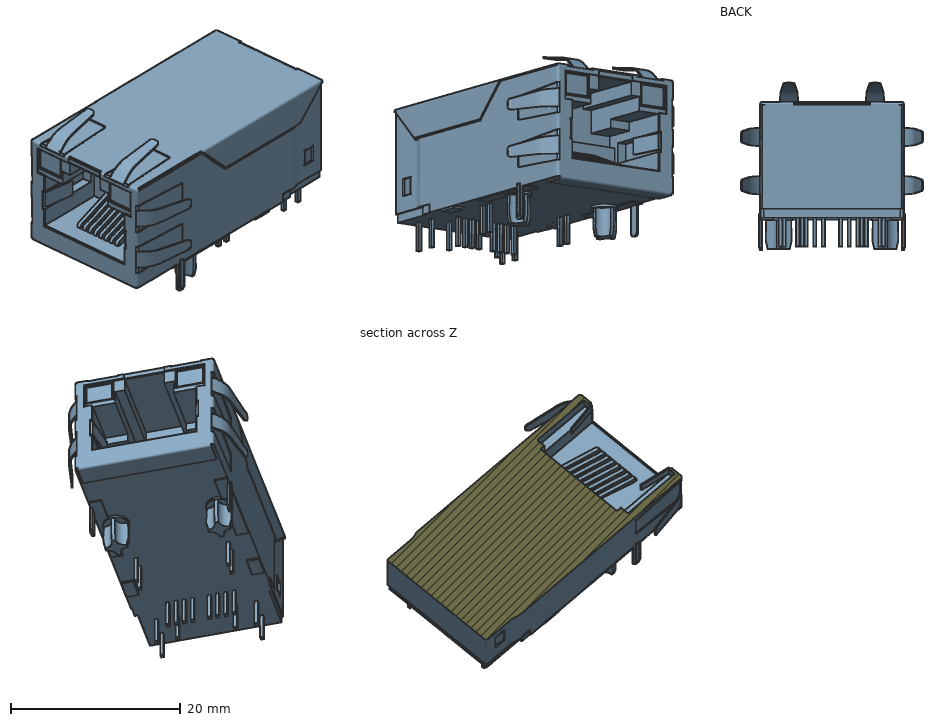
import cadquery as cq
import math


LENGTH = 33.02
HALF_WIDTH = 8.52
HEIGHT = 13.7
SHEET = 0.2
BEND = 0.33

FINGER_RISE = 2.28
FINGER_SHEET = 0.15
FINGER_LENGTH = 7.0
FINGER_ROOT_HALF = 1.12
FINGER_TIP_HALF = 0.65
FINGER_TIP_ROUND = 0.5
FINGER_TIP_RUN = 0.55
FINGER_SLOPE = 43.0
FINGER_END_SLOPE = 10.5
FINGER_TIP_SLOPE = 19.0
FINGER_BEND_START = 0.85
FINGER_BEND_END = 2.55
SLOT_DEPTH = 0.13
SLOT_LEAD = 0.3
SLOT_LEAD_DROP = 0.15
SLOT_LENGTH = 8.02
SLOT_ROOT_HALF = 1.85
SLOT_TIP_HALF = 1.42
SLOT_CORNER = 0.2
TOP_FINGER_X = 5.1
SIDE_FINGER_Z = (3.83, 9.55)

FLAP_BOTTOM = 9.55
FLAP_FRONT = 15.65
FLAP_REAR = 28.85
FLAP_TOP = HEIGHT - BEND
FLAP_END_ANGLE = 45.0
FLAP_GAP = 0.2
GAP_DEPTH = 0.6
REBATE = 0.23
JOGGLE = 0.25
REAR_BEND = 0.25
JOGGLE_START = 27.4
JOGGLE_END = 28.9
COVER_BOTTOM = 1.02
BASE_STEP_Y = 27.2
BASE_FRONT_Y = 25.82
BASE_FRONT_INSET = 0.1
BASE_SIDE_INSET = 0.45
BASE_END_INSET = 0.23
LATCH_FRONT = 29.9
LATCH_GAP = 0.13
LATCH_RAMP_END = 31.1
LATCH_REAR = 31.47
LATCH_BOTTOM = 3.0
LATCH_TOP = 5.05
LATCH_SHALLOW = 0.3
LATCH_DEEP = 0.53
LATCH_FLOOR = 0.55
REAR_NOTCH_HALF = 4.52
REAR_NOTCH_Y = 32.55

WINDOW_HALF = 7.4
WINDOW_TOP = 12.88
WINDOW_STEP = 9.48
MOUTH_HALF = 6.4
MOUTH_BOTTOM = 2.4
PLASTIC_LIP = 0.1
LIP_HALF = 2.48
LIP_STEP_Y = 0.25
KEY_HALF = 2.4
KEY_BOTTOM = 11.13
LATCHWAY_HALF = 3.55
CAVITY_DEPTH = 8.9
UPPER_CAVITY_DEPTH = 9.9
SHELF_Z = 6.75
CEILING_DROP_Y = 5.95
CEILING_Z = 8.32
POCKET_BOTTOM = 4.75
POCKET_TOP = 7.23
POCKET_REAR = 8.25
POCKET_HALF = 7.45
NOTCH_HALF = 6.65
SPRING_BOTTOM = 5.05
SPRING_TOP = 7.05
SPRING_END_Y = 4.3
SPRING_END_X = 5.65

LAMP_INNER = 3.83
LAMP_OUTER = 7.25
LAMP_BOTTOM = 10.07
LAMP_TOP = 12.8
LAMP_FACE_Y = 0.25
LAMP_CHAMFER = 0.15
LAMP_GAP = 0.03
LAMP_POCKET_Y = 0.53

CONTACTS = 8
CONTACT_SPAN = 5.95
CONTACT_PITCH = CONTACT_SPAN / (CONTACTS - 1)
CONTACT_WIDTH = 0.53
CONTACT_SHEET = 0.25
CONTACT_FRONT_Y = 2.4
CONTACT_NOSE_Z = 3.05
CONTACT_REAR_Z = 5.48

POST_X = 6.3
POST_Y = 10.9
POST_RADIUS = 1.5
POST_BARB = 1.55
POST_END_RADIUS = 1.32
POST_BARB_Z = -2.67
POST_END_Z = -3.73
COLLAR_RADIUS = 1.6
COLLAR = 0.33
SCALLOP_OFFSET = 1.32
POST_ARM_HALF = 0.23
TAB_Y = 7.75
TAB_WIDTH = 1.2
TAB_BOTTOM = -3.85
TAB_SHEET = 0.25
TAB_CHAMFER = 0.3
RIB_WIDTH = 0.53
RIB_TOP = 0.4
RIB_BOTTOM = -3.53
RIB_RISE = 0.13
PIN_END_Z = -3.45
PIN_X_SIZE = 0.4
PIN_Y_SIZE = 0.5
OUTER_PIN_X = 6.1
FRONT_PIN_X = 5.65
PIN_ROWS_Y = (26.1, 28.63, 31.17)
FRONT_PIN_Y = (17.57, 19.0)
SIGNAL_PIN_X = (1.02, 2.05, 3.05, 4.05)
CENTER_TAP_X = 3.53
LIP_FOLD = 0.25
LIP_FOLD_REAR = 2.58
LIP_FOLD_HALF = HALF_WIDTH - BEND
FOOT_INNER = 6.95
FOOT_OUTER = 8.45
REAR_FOOT = (20.97, 23.45, 0.25)
LONG_FOOT = (6.25, 16.28, 0.15)


def block(x0, x1, y0, y1, z0, z1):
    return cq.Workplane("XY").box(x1 - x0, y1 - y0, z1 - z0, centered=False).translate((x0, y0, z0))


def wide_block(half, y0, y1, z0, z1):
    return block(-half, half, y0, y1, z0, z1)


def prism_x(points, x0, x1):
    """Extrude a (y, z) outline from x0 to x1."""
    return cq.Workplane("YZ").workplane(offset=x0).polyline(points).close().extrude(x1 - x0)


def prism_z(points, z0, z1):
    """Extrude an (x, y) outline from z0 to z1."""
    return cq.Workplane("XY").workplane(offset=z0).polyline(points).close().extrude(z1 - z0)


def both_sides(solid):
    return solid.union(solid.mirror("YZ"))


def shield_body():
    body = wide_block(HALF_WIDTH, 0, LENGTH, 0, HEIGHT)
    body = body.edges("|Z or (>Z and |Y) or (>Z and |X)").fillet(BEND)
    notch = wide_block(REAR_NOTCH_HALF, REAR_NOTCH_Y, LENGTH, HEIGHT - SHEET, HEIGHT)
    step = wide_block(REAR_NOTCH_HALF, LENGTH - SHEET, LENGTH, HEIGHT - BEND, HEIGHT)
    return body.cut(notch).cut(step)


def top_edge_rebate():
    """Open corner ahead of the +X flap, where the top sheet stops short of the side sheet."""
    front_end = FLAP_FRONT - (HEIGHT - FLAP_BOTTOM)
    return block(HALF_WIDTH - REBATE, HALF_WIDTH, BEND, front_end, HEIGHT - REBATE, HEIGHT)


def flap_outline(gap):
    """Outline of the side flap with 45 degree ends, grown outwards by the gap."""
    end_gap = gap * math.tan(math.radians(FLAP_END_ANGLE / 2))
    rise = FLAP_TOP - FLAP_BOTTOM + gap
    bottom = FLAP_BOTTOM - gap
    return [
        (FLAP_FRONT - end_gap, bottom),
        (FLAP_REAR + end_gap, bottom),
        (FLAP_REAR + end_gap + rise, FLAP_TOP),
        (FLAP_FRONT - end_gap - rise, FLAP_TOP),
    ]


def rear_cover_cut():
    """Material outside the +X rear cover, which steps in through an S-bend."""
    level = HALF_WIDTH - JOGGLE
    middle = (JOGGLE_START + JOGGLE_END) / 2
    half_run = (JOGGLE_END - JOGGLE_START) / 2
    radius = (half_run**2 + (JOGGLE / 2) ** 2) / JOGGLE
    quarter = half_run / 2
    sag = radius - math.sqrt(radius**2 - quarter**2)
    space = (
        cq.Workplane("XY")
        .moveTo(HALF_WIDTH, JOGGLE_START)
        .threePointArc((HALF_WIDTH - sag, JOGGLE_START + quarter), (HALF_WIDTH - JOGGLE / 2, middle))
        .threePointArc((level + sag, JOGGLE_END - quarter), (level, JOGGLE_END))
        .lineTo(level, LENGTH - REAR_BEND)
        .radiusArc((level - REAR_BEND, LENGTH), -REAR_BEND)
        .lineTo(HALF_WIDTH, LENGTH)
        .close()
        .extrude(FLAP_TOP)
    )
    return space.cut(prism_x(flap_outline(0), 0, HALF_WIDTH))


def flap_gap_cut():
    """Open seam around the +X flap."""
    inner = HALF_WIDTH - GAP_DEPTH
    seam = prism_x(flap_outline(FLAP_GAP), inner, HALF_WIDTH)
    return seam.cut(prism_x(flap_outline(0), inner, HALF_WIDTH))


def latch_cut():
    """Window in the +X rear cover, leaving a latch ramp at its bottom."""
    return (
        cq.Workplane("XY")
        .workplane(offset=LATCH_BOTTOM)
        .moveTo(HALF_WIDTH, LATCH_FRONT)
        .lineTo(HALF_WIDTH - LATCH_FLOOR, LATCH_FRONT)
        .lineTo(HALF_WIDTH - LATCH_FLOOR, LATCH_FRONT + LATCH_GAP)
        .lineTo(HALF_WIDTH - LATCH_SHALLOW, LATCH_FRONT + LATCH_GAP)
        .lineTo(HALF_WIDTH - LATCH_DEEP, LATCH_RAMP_END)
        .tangentArcPoint((HALF_WIDTH - LATCH_FLOOR, LATCH_REAR), relative=False)
        .lineTo(HALF_WIDTH, LATCH_REAR)
        .close()
        .extrude(LATCH_TOP - LATCH_BOTTOM)
    )


def base_cut():
    """Steps that set the plastic base back below the +X rear cover."""
    front_x = HALF_WIDTH - BASE_FRONT_INSET
    side_x = HALF_WIDTH - BASE_SIDE_INSET
    end_y = LENGTH - BASE_END_INSET
    front = block(front_x, HALF_WIDTH, BASE_FRONT_Y, BASE_STEP_Y, 0, COVER_BOTTOM)
    side = block(side_x, HALF_WIDTH, BASE_STEP_Y, LENGTH, 0, COVER_BOTTOM)
    end = block(0, HALF_WIDTH, end_y, LENGTH, 0, COVER_BOTTOM)
    return front.union(side).union(end)


def finger():
    """A spring finger rooted at the origin, running along +Y and rising along +Z."""
    slope = math.radians(FINGER_SLOPE)
    end_slope = math.radians(FINGER_END_SLOPE)
    run = FINGER_BEND_END - FINGER_BEND_START
    radius = run / (math.sin(slope) - math.sin(end_slope))
    bend_rise = radius * (math.cos(end_slope) - math.cos(slope))
    tip_y = FINGER_LENGTH - FINGER_TIP_RUN
    kink_z = FINGER_RISE - FINGER_TIP_RUN * math.tan(math.radians(FINGER_TIP_SLOPE))
    bend_end_z = kink_z - (tip_y - FINGER_BEND_END) * math.tan(end_slope)
    bend_start_z = bend_end_z - bend_rise
    root_y = BEND * (1 - math.sin(slope))
    root_z = bend_start_z - (FINGER_BEND_START - root_y) * math.tan(slope)
    root_center_z = root_z - BEND * math.cos(slope)
    half_turn = (math.pi / 2 - slope) / 2
    root_middle = (
        BEND * (1 - math.cos(half_turn)),
        root_center_z + BEND * math.sin(half_turn),
    )
    middle = (slope + end_slope) / 2
    bend_center_y = FINGER_BEND_START + radius * math.sin(slope)
    bend_center_z = bend_start_z - radius * math.cos(slope)

    def on_bend(angle, distance):
        y = bend_center_y - distance * math.sin(angle)
        return (y, bend_center_z + distance * math.cos(angle))

    inner = radius - FINGER_SHEET
    inner_start = on_bend(slope, inner)
    inner_root_y = inner_start[0] - (inner_start[1] - root_center_z) / math.tan(slope)
    profile = (
        cq.Workplane("YZ")
        .workplane(offset=-FINGER_ROOT_HALF)
        .moveTo(0, root_center_z)
        .threePointArc(root_middle, (root_y, root_z))
        .lineTo(FINGER_BEND_START, bend_start_z)
        .threePointArc(on_bend(middle, radius), (FINGER_BEND_END, bend_end_z))
        .lineTo(tip_y, kink_z)
        .lineTo(FINGER_LENGTH, FINGER_RISE)
        .lineTo(FINGER_LENGTH, FINGER_RISE - FINGER_SHEET)
        .lineTo(tip_y, kink_z - FINGER_SHEET)
        .lineTo(*on_bend(end_slope, inner))
        .threePointArc(on_bend(middle, inner), inner_start)
        .lineTo(inner_root_y, root_center_z)
        .close()
        .extrude(2 * FINGER_ROOT_HALF)
    )
    outline = prism_z(
        [
            (-FINGER_ROOT_HALF, 0),
            (FINGER_ROOT_HALF, 0),
            (FINGER_TIP_HALF, FINGER_LENGTH),
            (-FINGER_TIP_HALF, FINGER_LENGTH),
        ],
        -2 * BEND,
        FINGER_RISE,
    )
    return profile.intersect(outline.edges("|Z and >Y").fillet(FINGER_TIP_ROUND))


def finger_slot():
    slot = prism_z(
        [
            (-SLOT_ROOT_HALF, 0),
            (SLOT_ROOT_HALF, 0),
            (SLOT_TIP_HALF, SLOT_LENGTH),
            (-SLOT_TIP_HALF, SLOT_LENGTH),
        ],
        -SLOT_DEPTH,
        0,
    )
    lead = prism_x(
        [(0, -SLOT_DEPTH), (SLOT_LEAD, -SLOT_DEPTH), (0, -SLOT_DEPTH - SLOT_LEAD_DROP)],
        -SLOT_ROOT_HALF,
        SLOT_ROOT_HALF,
    )
    return slot.edges("|Z and >Y").fillet(SLOT_CORNER).union(lead)


def at_finger_places(shape):
    """Copies of a finger-frame shape on the top and on both sides."""
    copies = [shape.translate((x, 0, HEIGHT)) for x in (-TOP_FINGER_X, TOP_FINGER_X)]
    for angle, x in ((90, HALF_WIDTH), (-90, -HALF_WIDTH)):
        turned = shape.rotate((0, 0, 0), (0, 1, 0), angle)
        copies += [turned.translate((x, 0, z)) for z in SIDE_FINGER_Z]
    return copies


def window_cut():
    """Openings in the front sheet."""
    window = wide_block(WINDOW_HALF, 0, SHEET, WINDOW_STEP, WINDOW_TOP)
    mouth = wide_block(MOUTH_HALF, 0, SHEET, MOUTH_BOTTOM, WINDOW_STEP)
    notches = wide_block(NOTCH_HALF, 0, SHEET, POCKET_BOTTOM, POCKET_TOP)
    lip_face = wide_block(LIP_HALF, 0, SHEET / 2, WINDOW_TOP, HEIGHT)
    lip_step = wide_block(LIP_HALF, 0, LIP_STEP_Y, HEIGHT - SHEET, HEIGHT)
    return window.union(mouth).union(notches).union(lip_face).union(lip_step)


def cavity_cut():
    """Plug cavity in the plastic housing behind the front sheet."""
    half = MOUTH_HALF - PLASTIC_LIP
    bottom = MOUTH_BOTTOM + PLASTIC_LIP
    lower = wide_block(half, SHEET, CAVITY_DEPTH, bottom, SHELF_Z)
    middle = wide_block(half, SHEET, UPPER_CAVITY_DEPTH, SHELF_Z, CEILING_Z)
    entry = wide_block(half, SHEET, CEILING_DROP_Y, CEILING_Z, WINDOW_STEP - PLASTIC_LIP)
    latchway = wide_block(LATCHWAY_HALF, SHEET, UPPER_CAVITY_DEPTH, CEILING_Z, KEY_BOTTOM)
    key = wide_block(KEY_HALF, SHEET, UPPER_CAVITY_DEPTH, KEY_BOTTOM, WINDOW_TOP - PLASTIC_LIP)
    pockets = wide_block(POCKET_HALF, SHEET, POCKET_REAR, POCKET_BOTTOM, POCKET_TOP)
    pocket_wall = wide_block(half, SHEET, POCKET_REAR, POCKET_BOTTOM, POCKET_TOP)
    return lower.union(middle).union(entry).union(latchway).union(key).union(pockets.cut(pocket_wall))


def side_spring():
    """Leaf on the +X cavity wall, leaning inwards from the front sheet."""
    lean = [
        (POCKET_HALF, SHEET),
        (MOUTH_HALF - PLASTIC_LIP, SHEET),
        (SPRING_END_X, SPRING_END_Y),
        (SPRING_END_X + SHEET, SPRING_END_Y),
        (MOUTH_HALF + PLASTIC_LIP, 2 * SHEET),
        (POCKET_HALF, 2 * SHEET),
    ]
    return prism_z(lean, SPRING_BOTTOM, SPRING_TOP)


def lamp_pocket():
    return block(
        LAMP_INNER - LAMP_GAP,
        LAMP_OUTER + LAMP_GAP,
        SHEET,
        LAMP_POCKET_Y,
        LAMP_BOTTOM - LAMP_GAP,
        LAMP_TOP + LAMP_GAP,
    )


def lamp():
    lens = block(LAMP_INNER, LAMP_OUTER, LAMP_FACE_Y, LAMP_POCKET_Y, LAMP_BOTTOM, LAMP_TOP)
    return lens.faces("<Y").chamfer(LAMP_CHAMFER)


def contacts():
    """Row of sloping contact wires rising from the cavity floor to its rear wall."""
    floor = MOUTH_BOTTOM + PLASTIC_LIP
    nose_y = CONTACT_FRONT_Y + CONTACT_SHEET
    nose_middle = (CONTACT_FRONT_Y + CONTACT_SHEET / 4, (floor + CONTACT_NOSE_Z) / 2 + CONTACT_SHEET / 4)
    contact = (
        cq.Workplane("YZ")
        .moveTo(CONTACT_FRONT_Y, floor)
        .threePointArc(nose_middle, (nose_y, CONTACT_NOSE_Z))
        .lineTo(CAVITY_DEPTH, CONTACT_REAR_Z)
        .lineTo(CAVITY_DEPTH, CONTACT_REAR_Z - CONTACT_SHEET)
        .lineTo(nose_y + CONTACT_SHEET, floor)
        .close()
        .extrude(CONTACT_WIDTH)
    )
    row = cq.Workplane("XY")
    first = -(CONTACT_SPAN + CONTACT_WIDTH) / 2
    for index in range(CONTACTS):
        row = row.union(contact.translate((first + index * CONTACT_PITCH, 0, 0)))
    return row


def post():
    """Cross-shaped locating peg with a tapered end and concave flutes."""
    peg = (
        cq.Workplane("XZ")
        .polyline(
            [
                (0, 0),
                (POST_RADIUS, 0),
                (POST_BARB, POST_BARB_Z),
                (POST_END_RADIUS, POST_END_Z),
                (0, POST_END_Z),
            ]
        )
        .close()
        .revolve(360, (0, 0, 0), (0, 1, 0))
    )
    reach = SCALLOP_OFFSET - POST_ARM_HALF
    opening = POST_BARB - POST_ARM_HALF
    flute = (
        cq.Workplane("XY")
        .workplane(offset=POST_END_Z)
        .center(SCALLOP_OFFSET, SCALLOP_OFFSET)
        .circle(reach)
        .extrude(-POST_END_Z)
    )
    for x, y in ((POST_ARM_HALF, SCALLOP_OFFSET), (SCALLOP_OFFSET, POST_ARM_HALF)):
        flute = flute.union(block(x, x + opening, y, y + opening, POST_END_Z, 0))
    for turn in range(4):
        peg = peg.cut(flute.rotate((0, 0, 0), (0, 0, 1), 90 * turn))
    collar = cq.Workplane("XY").circle(COLLAR_RADIUS).extrude(-COLLAR)
    return peg.union(collar).translate((POST_X, POST_Y, 0))


def ground_tab():
    """Board tab of the +X shield side, with a stiffening rib on its outside."""
    tab = block(
        HALF_WIDTH - TAB_SHEET,
        HALF_WIDTH,
        TAB_Y - TAB_WIDTH / 2,
        TAB_Y + TAB_WIDTH / 2,
        TAB_BOTTOM,
        BEND,
    )
    tab = tab.edges("|X and <Z").chamfer(TAB_CHAMFER)
    rib = block(
        HALF_WIDTH - TAB_SHEET / 2,
        HALF_WIDTH + RIB_RISE,
        TAB_Y - RIB_WIDTH / 2,
        TAB_Y + RIB_WIDTH / 2,
        RIB_BOTTOM,
        RIB_TOP,
    )
    rib = rib.edges("|X").fillet(RIB_WIDTH / 4)
    return tab.union(rib)


def pins():
    """Board pins of the +X half."""
    signal_row, middle_row, rear_row = PIN_ROWS_Y
    places = [(x, signal_row) for x in SIGNAL_PIN_X]
    places += [(CENTER_TAP_X, middle_row), (OUTER_PIN_X, middle_row), (OUTER_PIN_X, rear_row)]
    places += [(FRONT_PIN_X, y) for y in FRONT_PIN_Y]
    return cq.Workplane("XY").pushPoints(places).rect(PIN_X_SIZE, PIN_Y_SIZE).extrude(PIN_END_Z)


def feet():
    """Folded edge under the front and the stand-off pads of the +X half."""
    fold = block(0, LIP_FOLD_HALF, 0, LIP_FOLD_REAR, -LIP_FOLD, SHEET / 2)
    fold = fold.edges("|X and <Y and <Z").fillet(LIP_FOLD)
    for front, rear, depth in (REAR_FOOT, LONG_FOOT):
        fold = fold.union(block(FOOT_INNER, FOOT_OUTER, front, rear, -depth, 0))
    return fold


result = shield_body()
for opening in (top_edge_rebate(), rear_cover_cut(), flap_gap_cut(), latch_cut(), base_cut()):
    result = result.cut(both_sides(opening))
for slot in at_finger_places(finger_slot()):
    result = result.cut(slot)
result = result.cut(window_cut()).cut(cavity_cut()).cut(both_sides(lamp_pocket()))
for spring_finger in at_finger_places(finger()):
    result = result.union(spring_finger)
for detail in (side_spring(), lamp(), post(), ground_tab(), pins(), feet()):
    result = result.union(both_sides(detail))
result = result.union(contacts())